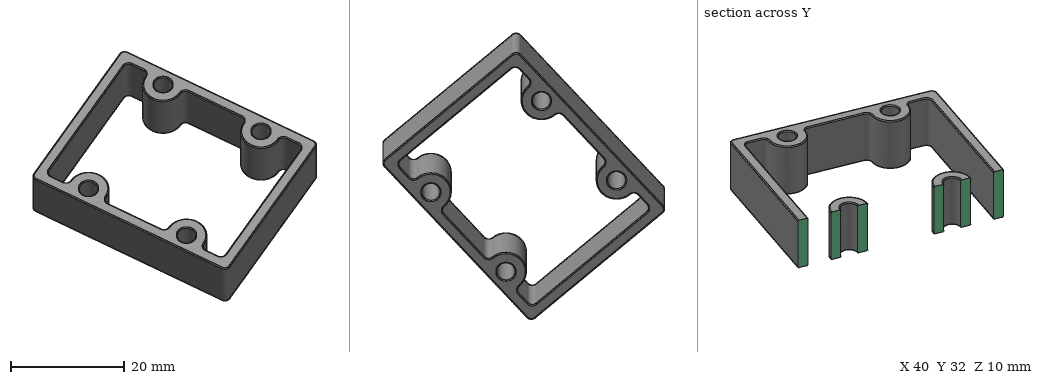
import cadquery as cq

length = 40.0
width = 32.0
height = 10.0
wall = 2.0
corner_radius = 1.0

boss_radius = 3.6
hole_diameter = 3.2
boss_spacing_x = length / 2
boss_edge_distance = 3.0
boss_spacing_y = width - 2 * boss_edge_distance

edge_chamfer = 0.2

boss_centers = [
    (side_x * boss_spacing_x / 2, side_y * boss_spacing_y / 2)
    for side_x in (-1, 1)
    for side_y in (-1, 1)
]


def outer_block():
    """Solid block with rounded vertical corners."""
    block = cq.Workplane("XY").box(length, width, height, centered=(True, True, False))
    return block.edges("|Z").fillet(corner_radius)


def opening():
    """Through opening that leaves the walls and bosses, with rounded vertical edges."""
    cavity = cq.Workplane("XY").box(
        length - 2 * wall, width - 2 * wall, height, centered=(True, True, False)
    )
    bosses = cq.Workplane("XY").pushPoints(boss_centers).circle(boss_radius).extrude(height)
    return cavity.cut(bosses).edges("|Z").fillet(corner_radius)


def screw_holes():
    """Through holes on the boss axes."""
    return cq.Workplane("XY").pushPoints(boss_centers).circle(hole_diameter / 2).extrude(height)


frame = outer_block().cut(opening()).cut(screw_holes())
result = frame.faces("<Z or >Z").edges().chamfer(edge_chamfer)